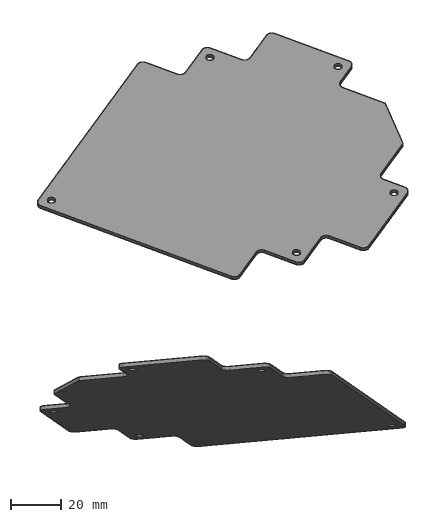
import cadquery as cq

GRID_ANGLE = 45.0
UPWARD = ">(1, 1, 0)"

thickness = 1.6
base_side = 90.545
step = 19.05
ear_length = 2 * step
ear_depth = 14.35
top_chamfer = 16.606
corner_radius = 2.5
hole_diameter = 3.2
hole_inset = 4.75

middle_tip = base_side + step
ear_edge = base_side + 2 * step
core_side = ear_edge - ear_depth
ear_end = 2 * step + ear_length


def mirrored(points):
    """Reflect grid points across the symmetry plane by swapping u and v."""
    return [(v, u) for u, v in points]


def outline_points():
    """Sharp corners of the plate, counterclockwise from the lower tip."""
    right_flank = [
        (base_side, 0),
        (base_side, step),
        (middle_tip, step),
        (middle_tip, 2 * step),
        (ear_edge, 2 * step),
        (ear_edge, ear_end),
        (core_side, ear_end),
    ]
    upper_corner = (core_side, core_side)
    return [(0, 0)] + right_flank + [upper_corner] + mirrored(reversed(right_flank))


def hole_points():
    """Hole centres in the lower tip, the two middle tips and the two ears."""
    lower_tip = (hole_inset, hole_inset)
    right_holes = [
        (middle_tip - hole_inset, step + hole_inset),
        (ear_edge - hole_inset, ear_end - hole_inset),
    ]
    return [lower_tip] + right_holes + mirrored(right_holes)


def make_plate():
    """Plate with rounded stair corners and a flat cut across the upper corner."""
    blank = cq.Workplane("XY").polyline(outline_points()).close().extrude(thickness)
    chamfered = blank.edges("|Z").edges(UPWARD).chamfer(top_chamfer)
    stair_corners = chamfered.edges("|Z").edges(f"not {UPWARD}")
    return stair_corners.fillet(corner_radius)


def drill_holes(plate):
    """Through holes at the tips and ears."""
    top_face = plate.faces(">Z").workplane(origin=(0, 0, 0))
    return top_face.pushPoints(hole_points()).hole(hole_diameter)


result = drill_holes(make_plate()).rotate((0, 0, 0), (0, 0, 1), GRID_ANGLE)